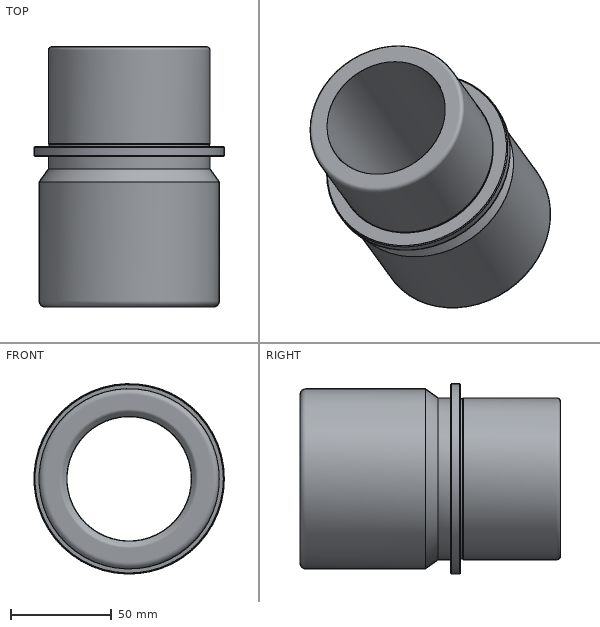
import cadquery as cq
import math

length = 130.0
front_y = -length / 2
back_y = length / 2

flange_diameter = 95.0
flange_radius = flange_diameter / 2
body_radius = 45.0
shank_radius = 40.4

flange_start = 49.8
flange_thickness = 5.1
neck_length = 6.2
shoulder_length = 6.4
relief_width = 1.3
relief_depth = 0.4

front_edge_fillet = 3.0
back_edge_fillet = 2.0
flange_chamfer = 0.5

bore_diameter = 62.0
bore_radius = bore_diameter / 2
lead_in_angle = 45
lead_in_depth = 2.9
lead_in_fillet = 2.0

flange_back_y = back_y - flange_start
flange_front_y = flange_back_y - flange_thickness
neck_front_y = flange_front_y - neck_length
body_back_y = neck_front_y - shoulder_length
relief_back_y = flange_back_y + relief_width
relief_radius = shank_radius - relief_depth


def point_on_circle(center_x, center_y, radius, angle_degrees):
    """Point on a circle at the given angle."""
    angle = math.radians(angle_degrees)
    return (center_x + radius * math.cos(angle), center_y + radius * math.sin(angle))


def revolved_about_y(profile):
    return profile.close().revolve(360, (0, 0, 0), (0, 1, 0))


def make_outer():
    """Solid of revolution with the body, shoulder, neck, flange and shank."""
    front_face_radius = body_radius - front_edge_fillet
    front_fillet_y = front_y + front_edge_fillet
    back_face_radius = shank_radius - back_edge_fillet
    back_fillet_y = back_y - back_edge_fillet
    profile = (
        cq.Workplane("XY")
        .moveTo(0, front_y)
        .lineTo(front_face_radius, front_y)
        .threePointArc(
            point_on_circle(front_face_radius, front_fillet_y, front_edge_fillet, -45),
            (body_radius, front_fillet_y),
        )
        .lineTo(body_radius, body_back_y)
        .lineTo(shank_radius, neck_front_y)
        .lineTo(shank_radius, flange_front_y)
        .lineTo(flange_radius - flange_chamfer, flange_front_y)
        .lineTo(flange_radius, flange_front_y + flange_chamfer)
        .lineTo(flange_radius, flange_back_y - flange_chamfer)
        .lineTo(flange_radius - flange_chamfer, flange_back_y)
        .lineTo(relief_radius, flange_back_y)
        .lineTo(relief_radius, relief_back_y - relief_depth)
        .lineTo(shank_radius, relief_back_y)
        .lineTo(shank_radius, back_fillet_y)
        .threePointArc(
            point_on_circle(back_face_radius, back_fillet_y, back_edge_fillet, 45),
            (back_face_radius, back_y),
        )
        .lineTo(0, back_y)
    )
    return revolved_about_y(profile)


def make_bore():
    """Through bore, widened at the front by a 45 degree cone that rounds into the end face."""
    cone_angle = math.radians(lead_in_angle)
    cone_start_y = front_y + lead_in_fillet * (1 - math.cos(cone_angle))
    bore_start_y = front_y + lead_in_depth
    cone_radius = bore_radius + (bore_start_y - cone_start_y) * math.tan(cone_angle)
    mouth_fillet_y = front_y + lead_in_fillet
    mouth_radius = cone_radius + lead_in_fillet * math.sin(cone_angle)
    profile = (
        cq.Workplane("XY")
        .moveTo(0, front_y)
        .lineTo(mouth_radius, front_y)
        .threePointArc(
            point_on_circle(mouth_radius, mouth_fillet_y, lead_in_fillet, -90 - lead_in_angle / 2),
            (cone_radius, cone_start_y),
        )
        .lineTo(bore_radius, bore_start_y)
        .lineTo(bore_radius, back_y)
        .lineTo(0, back_y)
    )
    return revolved_about_y(profile)


result = make_outer().cut(make_bore())